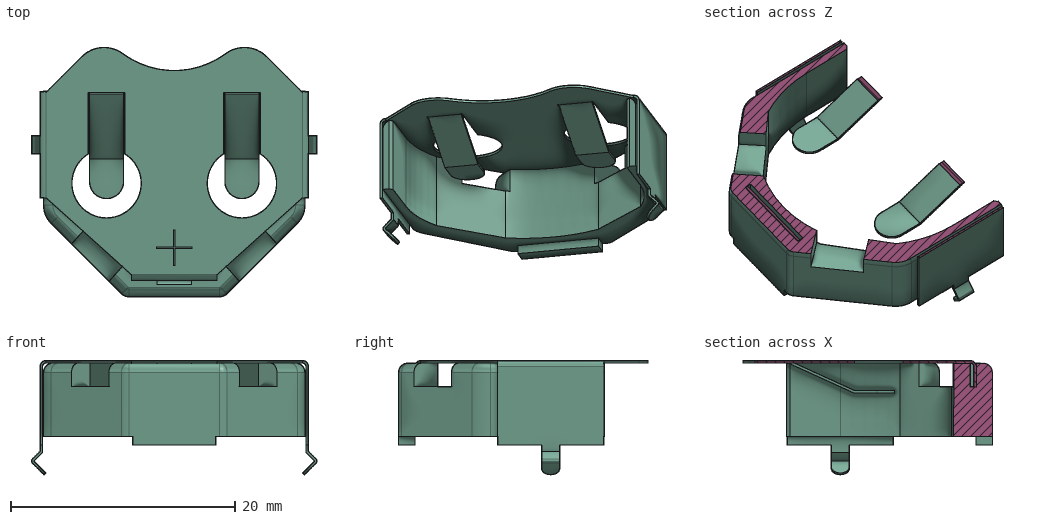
import cadquery as cq
import math


HOUSING_HALF_WIDTH = 11.67
HOUSING_BACK = 4.81
HOUSING_FRONT = -13.58
FRONT_HALF_WIDTH = 4.43
HOUSING_HEIGHT = 6.55
SIDE_CORNER_RADIUS = 2.32
FRONT_CORNER_RADIUS = 0.95
TOP_FILLET = 0.85
COIN_POCKET_RADIUS = 10.8
POCKET_FLAT_DISTANCE = 10.25
MOUTH_CHAMFER = 0.3
STANDOFF_WIDTH = 7.44
STANDOFF_DEPTH = 1.48
STANDOFF_HEIGHT = 0.76
NOTCH_WIDTH = 4.7
NOTCH_FLOOR = 4.45
NOTCH_CENTER_X = 7.5
NOTCH_REACH = 6.11
LEAD_IN_WIDTH = 3.05
LEAD_IN_DEPTH = 0.33

SHEET = 0.23
BEND_RADIUS = 0.53
CLIP_HALF_WIDTH = 11.97
FLANGE_WIDTH = 9.47
FLANGE_BOTTOM = -0.76
CLIP_TOP = HOUSING_HEIGHT + SHEET
PLATE_HALF_WIDTH = CLIP_HALF_WIDTH - BEND_RADIUS
TAB_WIDTH = 7.65
TAB_FACE = -12.12
TAB_BOTTOM = NOTCH_FLOOR
PLATE_FRONT = TAB_FACE + BEND_RADIUS

LOBE_RADIUS = 2.78
LOBE_TOP = 8.69
LOBE_EDGE_SUM = 16.1
DISH_BOTTOM = 6.62

SPRING_X = 6.04
KEYHOLE_RADIUS = 3.08
KEYHOLE_Y = -3.45
SLOT_WIDTH = 3.23
SLOT_BACK = 4.64
SPRING_WIDTH = 3.05
SPRING_BEND_Y = -1.27
SPRING_TIP_Y = -4.81
SPRING_DROP = 2.67

FOOT_WIDTH = 1.63
FOOT_BEND_TOP = -1.32
FOOT_CORNER_RADIUS = 0.25
FOOT_KNEE_X = 12.84
FOOT_END = -3.41

CROSS_LENGTH = 3.15
CROSS_WIDTH = 0.15
CROSS_DEPTH = 0.1
CROSS_Y = -9.2

SLANT_RUN = PLATE_HALF_WIDTH - TAB_WIDTH / 2
SLANT_RISE = -FLANGE_WIDTH / 2 - PLATE_FRONT
SLANT_NORMAL = math.degrees(math.atan2(SLANT_RUN, SLANT_RISE))


def polar(radius, angle):
    """Point at a distance from the coin axis, its angle taken from +X towards -Y."""
    return (radius * math.cos(math.radians(angle)), -radius * math.sin(math.radians(angle)))


def mirrored(point):
    """The same point on the other side of the X = 0 plane."""
    return (-point[0], point[1])


def housing_block():
    shoulder_y = HOUSING_FRONT + HOUSING_HALF_WIDTH - FRONT_HALF_WIDTH
    block = (
        cq.Workplane("XY")
        .polyline([
            (-HOUSING_HALF_WIDTH, HOUSING_BACK),
            (-HOUSING_HALF_WIDTH, shoulder_y),
            (-FRONT_HALF_WIDTH, HOUSING_FRONT),
            (FRONT_HALF_WIDTH, HOUSING_FRONT),
            (HOUSING_HALF_WIDTH, shoulder_y),
            (HOUSING_HALF_WIDTH, HOUSING_BACK),
        ])
        .close()
        .extrude(HOUSING_HEIGHT)
    )
    block = block.edges("|Z").edges("<Y").fillet(FRONT_CORNER_RADIUS)
    for x in (-HOUSING_HALF_WIDTH, HOUSING_HALF_WIDTH):
        shoulder = cq.selectors.NearestToPointSelector((x, shoulder_y, HOUSING_HEIGHT / 2))
        block = block.edges("|Z").edges(shoulder).fillet(SIDE_CORNER_RADIUS)
    return block.faces(">Z").edges("not >Y").fillet(TOP_FILLET)


def coin_pocket():
    """Round pocket with two flats, open at the back with a chamfered mouth."""
    half_flat = math.degrees(math.acos(POCKET_FLAT_DISTANCE / COIN_POCKET_RADIUS))
    radius = COIN_POCKET_RADIUS
    flat_start = SLANT_NORMAL - half_flat
    flat_end = SLANT_NORMAL + half_flat
    return (
        cq.Workplane("XY")
        .moveTo(radius + MOUTH_CHAMFER, HOUSING_BACK)
        .lineTo(radius, HOUSING_BACK - MOUTH_CHAMFER)
        .lineTo(radius, 0)
        .threePointArc(polar(radius, flat_start / 2), polar(radius, flat_start))
        .lineTo(*polar(radius, flat_end))
        .threePointArc((0, -radius), mirrored(polar(radius, flat_end)))
        .lineTo(*mirrored(polar(radius, flat_start)))
        .threePointArc(mirrored(polar(radius, flat_start / 2)), (-radius, 0))
        .lineTo(-radius, HOUSING_BACK - MOUTH_CHAMFER)
        .lineTo(-radius - MOUTH_CHAMFER, HOUSING_BACK)
        .close()
        .extrude(HOUSING_HEIGHT)
    )


def rim_notch(side):
    """Notch from outside the slanting wall into the pocket, square to the plate's slanting edge."""
    height = HOUSING_HEIGHT - NOTCH_FLOOR
    center_y = HOUSING_FRONT + NOTCH_CENTER_X - FRONT_HALF_WIDTH
    return (
        cq.Workplane("XY")
        .box(NOTCH_REACH, NOTCH_WIDTH, height, centered=(True, True, False))
        .rotate((0, 0, 0), (0, 0, 1), -side * SLANT_NORMAL)
        .translate((side * NOTCH_CENTER_X, center_y, NOTCH_FLOOR))
    )


def tab_slot():
    """Slot for the clip's front tab and its bend, with a sloping lead-in at its front."""
    slot = (
        cq.Workplane("XY", origin=(0, TAB_FACE, TAB_BOTTOM))
        .box(TAB_WIDTH, BEND_RADIUS, HOUSING_HEIGHT - TAB_BOTTOM, centered=(True, False, False))
    )
    lead_in = (
        cq.Workplane("YZ")
        .polyline([
            (TAB_FACE, HOUSING_HEIGHT),
            (TAB_FACE - LEAD_IN_DEPTH, HOUSING_HEIGHT),
            (TAB_FACE, HOUSING_HEIGHT - LEAD_IN_DEPTH),
        ])
        .close()
        .extrude(LEAD_IN_WIDTH / 2, both=True)
    )
    return slot.union(lead_in)


def make_housing():
    standoff = (
        cq.Workplane("XY", origin=(0, HOUSING_FRONT, -STANDOFF_HEIGHT))
        .box(STANDOFF_WIDTH, STANDOFF_DEPTH, STANDOFF_HEIGHT, centered=(True, False, False))
    )
    housing = housing_block().cut(coin_pocket()).union(standoff).cut(tab_slot())
    for side in (-1, 1):
        housing = housing.cut(rim_notch(side))
    return housing


def clip_plate():
    """Flat plate with two round lobes at the back and a finger dish between them."""
    lobe_x = LOBE_EDGE_SUM - LOBE_TOP + LOBE_RADIUS - LOBE_RADIUS * math.sqrt(2)
    lobe_y = LOBE_TOP - LOBE_RADIUS
    rise = LOBE_TOP - DISH_BOTTOM
    center_gap = (lobe_x**2 + rise**2) / (2 * rise)
    dish_radius = center_gap - LOBE_RADIUS
    dish_y = DISH_BOTTOM + dish_radius
    blend = dish_radius / center_gap
    dish_end = (lobe_x * blend, dish_y + (lobe_y - dish_y) * blend)
    lobe_end = (lobe_x + LOBE_RADIUS / math.sqrt(2), lobe_y + LOBE_RADIUS / math.sqrt(2))
    back_corner = (PLATE_HALF_WIDTH, LOBE_EDGE_SUM - PLATE_HALF_WIDTH)
    front_corner = (PLATE_HALF_WIDTH, -FLANGE_WIDTH / 2)
    tab_corner = (TAB_WIDTH / 2, PLATE_FRONT)
    return (
        cq.Workplane("XY", origin=(0, 0, HOUSING_HEIGHT))
        .moveTo(*mirrored(tab_corner))
        .lineTo(*tab_corner)
        .lineTo(*front_corner)
        .lineTo(*back_corner)
        .lineTo(*lobe_end)
        .threePointArc((lobe_x, LOBE_TOP), dish_end)
        .threePointArc((0, DISH_BOTTOM), mirrored(dish_end))
        .threePointArc((-lobe_x, LOBE_TOP), mirrored(lobe_end))
        .lineTo(*mirrored(back_corner))
        .lineTo(*mirrored(front_corner))
        .close()
        .extrude(SHEET)
    )


def bent_flange(reach, width, bottom, turn):
    """Bend and wall hanging from a plate edge, its outer face at the given reach, turned about Z."""
    inner_radius = BEND_RADIUS - SHEET
    bend_x = reach - BEND_RADIUS
    bend_z = CLIP_TOP - BEND_RADIUS
    diagonal = math.sqrt(0.5)
    return (
        cq.Workplane("XZ")
        .moveTo(bend_x, CLIP_TOP)
        .threePointArc((bend_x + BEND_RADIUS * diagonal, bend_z + BEND_RADIUS * diagonal), (reach, bend_z))
        .lineTo(reach, bottom)
        .lineTo(reach - SHEET, bottom)
        .lineTo(reach - SHEET, bend_z)
        .threePointArc((bend_x + inner_radius * diagonal, bend_z + inner_radius * diagonal),
                       (bend_x, HOUSING_HEIGHT))
        .close()
        .extrude(width / 2, both=True)
        .rotate((0, 0, 0), (0, 0, 1), turn)
    )


def keyhole(x):
    slot = (
        cq.Workplane("XY", origin=(x, KEYHOLE_Y, HOUSING_HEIGHT))
        .box(SLOT_WIDTH, SLOT_BACK - KEYHOLE_Y, SHEET, centered=(True, False, False))
    )
    hole = cq.Workplane("XY", origin=(x, KEYHOLE_Y, HOUSING_HEIGHT)).circle(KEYHOLE_RADIUS).extrude(SHEET)
    return slot.union(hole)


def spring_finger(x):
    """Finger that slopes down from the slot's back edge to a flat round tip.

    The square root of the sloping strip leaves a small V groove against the slot's back wall.
    """
    tip_radius = SPRING_WIDTH / 2
    tip_center = SPRING_TIP_Y + tip_radius
    tip_top = CLIP_TOP - SPRING_DROP
    slope = math.atan2(SPRING_DROP, SLOT_BACK - SPRING_BEND_Y)
    root_y = SLOT_BACK - SHEET * math.sin(slope)
    root_z = HOUSING_HEIGHT + SHEET * math.cos(slope)
    bend_shift = SHEET * math.tan(slope / 2)
    strip = (
        cq.Workplane("YZ", origin=(x, 0, 0))
        .polyline([
            (SLOT_BACK, HOUSING_HEIGHT),
            (SLOT_BACK, HOUSING_HEIGHT + SHEET / 2),
            (root_y, root_z),
            (SPRING_BEND_Y, tip_top),
            (tip_center, tip_top),
            (tip_center, tip_top - SHEET),
            (SPRING_BEND_Y + bend_shift, tip_top - SHEET),
        ])
        .close()
        .extrude(SPRING_WIDTH / 2, both=True)
    )
    tip = cq.Workplane("XY", origin=(x, tip_center, tip_top - SHEET)).circle(tip_radius).extrude(SHEET)
    return strip.union(tip)


def solder_foot():
    """Foot on the +X side: it kinks outwards, then back inwards to a round tip."""
    diagonal = SHEET * math.sqrt(2)
    inner_x = CLIP_HALF_WIDTH - SHEET
    knee_z = FOOT_BEND_TOP - (FOOT_KNEE_X - CLIP_HALF_WIDTH)
    tip_radius = FOOT_WIDTH / 2
    tip_z = FOOT_END + tip_radius * math.sqrt(0.5)
    tip_x = FOOT_KNEE_X - (knee_z - tip_z)
    step = SHEET * math.sqrt(0.5)
    leg = (
        cq.Workplane("XZ")
        .polyline([
            (CLIP_HALF_WIDTH, FLANGE_BOTTOM),
            (CLIP_HALF_WIDTH, FOOT_BEND_TOP),
            (FOOT_KNEE_X, knee_z),
            (tip_x, tip_z),
            (tip_x - step, tip_z + step),
            (FOOT_KNEE_X - diagonal, knee_z),
            (inner_x, FOOT_BEND_TOP - diagonal + SHEET),
            (inner_x, FLANGE_BOTTOM),
        ])
        .close()
        .extrude(FOOT_WIDTH / 2, both=True)
        .edges("|Y").edges(">X").fillet(FOOT_CORNER_RADIUS)
    )
    tip_plane = cq.Plane(origin=(tip_x, 0, tip_z), xDir=(0, 1, 0), normal=(-1, 0, 1))
    tip = (
        cq.Workplane(tip_plane)
        .moveTo(-tip_radius, 0)
        .threePointArc((0, tip_radius), (tip_radius, 0))
        .close()
        .extrude(SHEET)
    )
    return leg.union(tip)


def polarity_cross():
    """Shallow plus-shaped groove in the plate's top."""
    floor = cq.Workplane("XY", origin=(0, CROSS_Y, CLIP_TOP - CROSS_DEPTH))
    bar = floor.rect(CROSS_LENGTH, CROSS_WIDTH).extrude(CROSS_DEPTH)
    upright = floor.rect(CROSS_WIDTH, CROSS_LENGTH).extrude(CROSS_DEPTH)
    return bar.union(upright)


def make_clip():
    clip = clip_plate().union(bent_flange(-TAB_FACE, TAB_WIDTH, TAB_BOTTOM, -90))
    for turn in (0, 180):
        clip = clip.union(bent_flange(CLIP_HALF_WIDTH, FLANGE_WIDTH, FLANGE_BOTTOM, turn))
        clip = clip.union(solder_foot().rotate((0, 0, 0), (0, 0, 1), turn))
    for x in (-SPRING_X, SPRING_X):
        clip = clip.cut(keyhole(x)).union(spring_finger(x))
    return clip.cut(polarity_cross())


housing = make_housing()
clip = make_clip()
result = cq.Compound.makeCompound([housing.solids().val(), clip.solids().val()])